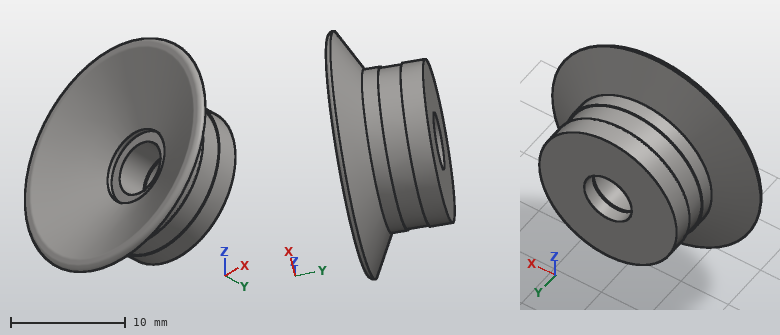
import cadquery as cq
import math

flange_radius = 11.0
total_depth = 8.0

hub_radius = 7.25
hub_start = 2.57
groove_radius = 7.15
groove_start = 4.0
groove_end = 6.0

rim_round = 0.5
mouth_radius = 10.0

recess_radius = 3.5
recess_floor = 3.5
cone_end = 3.0
bore_radius = 2.5

bore_groove_start = 6.5
bore_groove_width = 0.13
bore_groove_depth = 0.2

round_center_radius = flange_radius - rim_round
round_offset = rim_round * math.sqrt(0.5)
rim_arc_middle = (round_center_radius + round_offset, rim_round - round_offset)

cone_angle = math.atan2(cone_end, mouth_radius - recess_radius)
mouth_center_radius = mouth_radius + rim_round * math.tan(cone_angle / 2)


def mouth_arc_point(angle):
    """Point of the mouth round where its tangent is tilted by angle from the rim face."""
    return (
        mouth_center_radius - rim_round * math.sin(angle),
        rim_round * (1 - math.cos(angle)),
    )


section = (
    cq.Workplane("XY")
    .moveTo(bore_radius, recess_floor)
    .lineTo(recess_radius, recess_floor)
    .lineTo(recess_radius, cone_end)
    .lineTo(*mouth_arc_point(cone_angle))
    .threePointArc(mouth_arc_point(cone_angle / 2), mouth_arc_point(0))
    .lineTo(round_center_radius, 0)
    .threePointArc(rim_arc_middle, (flange_radius, rim_round))
    .lineTo(hub_radius, hub_start)
    .lineTo(hub_radius, groove_start)
    .lineTo(groove_radius, groove_start)
    .lineTo(groove_radius, groove_end)
    .lineTo(hub_radius, groove_end)
    .lineTo(hub_radius, total_depth)
    .lineTo(bore_radius, total_depth)
    .close()
)
body = section.revolve(360, (0, 0, 0), (0, 1, 0))

bore_groove = (
    cq.Workplane("XZ", origin=(0, bore_groove_start, 0))
    .circle(bore_radius + bore_groove_depth)
    .extrude(-bore_groove_width)
)

result = body.cut(bore_groove)